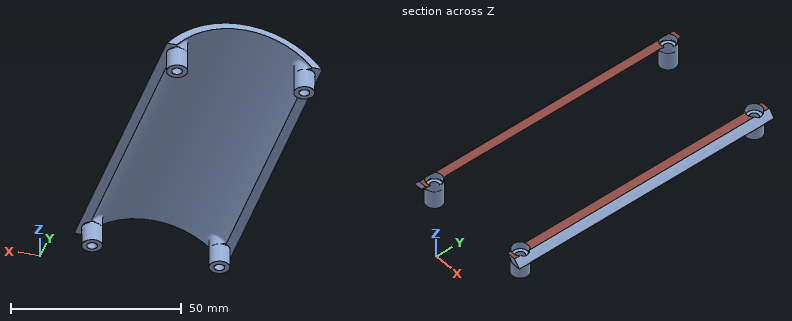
import cadquery as cq
cover_length = 98.15
cover_width = 47.5
arch_height = 11.5
crown_thickness = 2.0
inner_span = 41.1

post_spacing_x = 38.75
post_spacing_y = 90.0
post_diameter = 6.2
post_drop = 6.5
root_fillet = 0.9

screw_diameter = 3.1
head_diameter = 5.5
head_seat_z = 0.0

cut_clearance = 1.0
skirt_depth = 12.0


def arch_cylinder(span, rise):
    """Cylinder along Y that stands above z = 0 as an arch of the given span and rise."""
    radius = (span**2 / 4 + rise**2) / (2 * rise)
    return (
        cq.Workplane("XZ", origin=(0, 0, rise - radius))
        .circle(radius)
        .extrude(cover_length / 2, both=True)
    )


def block_between(bottom_z, top_z):
    """Block covering the whole part in plan between two heights."""
    return (
        cq.Workplane("XY", origin=(0, 0, bottom_z))
        .rect(2 * cover_width, 2 * cover_length)
        .extrude(top_z - bottom_z)
    )


def post_cylinders(diameter, bottom_z, top_z):
    """One vertical cylinder at each of the four post positions."""
    return (
        cq.Workplane("XY", origin=(0, 0, bottom_z))
        .rarray(post_spacing_x, post_spacing_y, 2, 2)
        .circle(diameter / 2)
        .extrude(top_z - bottom_z)
    )


def cover_with_post_roots():
    """Arched cover with the post tops filleted into its underside, cut flat at z = 0.

    The arch is first carried on below z = 0 so that each root edge is one closed loop.
    """
    outer = arch_cylinder(cover_width, arch_height)
    inner = arch_cylinder(inner_span, arch_height - crown_thickness)
    arch = outer.cut(inner).intersect(block_between(-skirt_depth, arch_height))
    posts = post_cylinders(post_diameter, -skirt_depth - cut_clearance, arch_height)
    body = arch.union(posts.intersect(outer))

    root_edges = body.edges("(not %LINE) and (not %CIRCLE)")
    return root_edges.fillet(root_fillet).intersect(block_between(0, arch_height))


cover = cover_with_post_roots()
lower_posts = post_cylinders(post_diameter, -post_drop, 0)

cut_top_z = arch_height + cut_clearance
screw_holes = post_cylinders(screw_diameter, -post_drop - cut_clearance, cut_top_z)
head_recesses = post_cylinders(head_diameter, head_seat_z, cut_top_z)

result = cover.union(lower_posts).cut(screw_holes).cut(head_recesses)